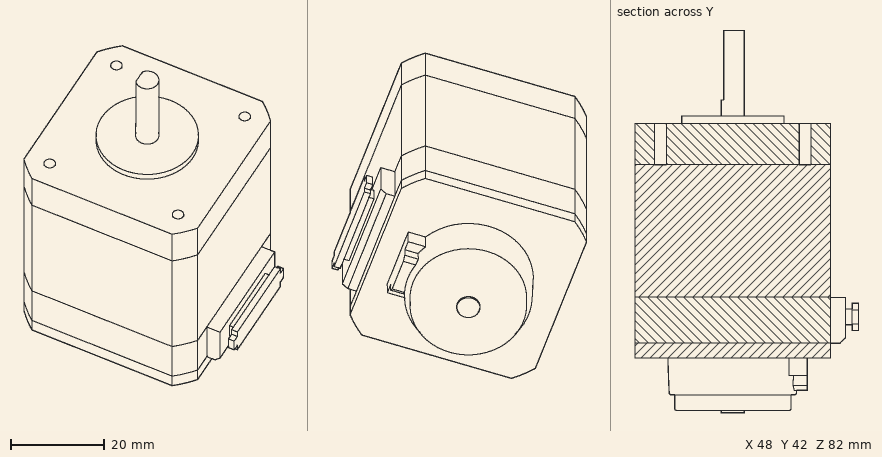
import cadquery as cq
import math


frame_width = 42.0
frame_corner_diameter = 53.95
plate_top = 3.2
rear_cap_top = 13.0
stator_top = 41.5
front_cap_top = 50.35

pilot_diameter = 22.0
pilot_height = 1.55
bolt_hole_diameter = 2.5
bolt_spacing = 31.0

shaft_diameter = 5.0
shaft_top = 70.3
shaft_bottom = -11.7
flat_offset = 2.0
flat_bottom = 55.35

housing_reach = 24.2
housing_width = 25.4
housing_chamfer = 1.2
neck_reach = 25.6
neck_width = 16.6
neck_height = 3.45
flange_reach = 27.0
flange_width = 23.0
flange_height = 5.9
flange_notch = 1.5
plug_center_z = 8.85

cover_top_radius = 13.9
cover_depth = 7.9
draft_angle = 2.0
cover_edge_fillet = 0.5
hub_diameter = 25.0
hub_bottom = -11.2
hub_edge_fillet = 0.5

socket_reach = 16.0
socket_top_width = 13.9
socket_step_depth = 3.7
socket_key_width = 9.35
socket_depth = 6.9
socket_chamfer = 1.0


def frame_slice(bottom, top):
    """Slice of the square frame whose corners lie on a common circle."""
    height = top - bottom
    square = cq.Workplane("XY", origin=(0, 0, bottom)).rect(frame_width, frame_width).extrude(height)
    corner_cylinder = (
        cq.Workplane("XY", origin=(0, 0, bottom)).circle(frame_corner_diameter / 2).extrude(height)
    )
    return square.intersect(corner_cylinder)


def box_along_x(x_start, x_end, width, height, center_z):
    """Box centered on Y = 0 that reaches from x_start to x_end."""
    return (
        cq.Workplane("YZ", origin=(x_start, 0, center_z)).rect(width, height).extrude(x_end - x_start)
    )


def shaft_cylinder():
    """Full-length cylinder of the shaft, also used as the cutter for its bore."""
    length = shaft_top - shaft_bottom
    return cq.Workplane("XY", origin=(0, 0, shaft_bottom)).circle(shaft_diameter / 2).extrude(length)


def make_shaft():
    """Round shaft through the whole motor, with a flat on the -X side of its output end."""
    flat_cutter = cq.Workplane("XY").box(
        shaft_diameter, shaft_diameter, shaft_top - flat_bottom, centered=(False, True, False)
    )
    return shaft_cylinder().cut(flat_cutter.translate((-flat_offset - shaft_diameter, 0, flat_bottom)))


def bore_for_shaft(body):
    """Cut the shaft bore through a body."""
    return body.cut(shaft_cylinder())


def make_front_cap():
    """Front cap with the round pilot and four bolt holes through its thickness."""
    cap = frame_slice(stator_top, front_cap_top)
    pilot = (
        cq.Workplane("XY", origin=(0, 0, front_cap_top)).circle(pilot_diameter / 2).extrude(pilot_height)
    )
    bolt_holes = (
        cq.Workplane("XY", origin=(0, 0, stator_top))
        .rect(bolt_spacing, bolt_spacing, forConstruction=True)
        .vertices()
        .circle(bolt_hole_diameter / 2)
        .extrude(front_cap_top - stator_top)
    )
    return bore_for_shaft(cap.union(pilot).cut(bolt_holes))


def make_stator():
    """Plain middle slice of the frame."""
    return bore_for_shaft(frame_slice(rear_cap_top, stator_top))


def make_rear_cap():
    """Rear cap with the motor connector: a housing, a neck and a flange with notched corners."""
    cap = frame_slice(plate_top, rear_cap_top)

    housing = box_along_x(
        0, housing_reach, housing_width, rear_cap_top - plate_top, (plate_top + rear_cap_top) / 2
    )
    housing = housing.edges(">X and <Z").chamfer(housing_chamfer)

    neck = box_along_x(housing_reach, neck_reach, neck_width, neck_height, plug_center_z)
    wide_bar = box_along_x(
        neck_reach, flange_reach, flange_width, flange_height - 2 * flange_notch, plug_center_z
    )
    tall_bar = box_along_x(
        neck_reach, flange_reach, flange_width - 2 * flange_notch, flange_height, plug_center_z
    )
    flange = wide_bar.union(tall_bar)
    return bore_for_shaft(cap.union(housing).union(neck).union(flange))


def make_encoder_socket():
    """Stepped encoder connector: drafted upper block and a narrower key with chamfered edges."""
    half_top = socket_top_width / 2
    half_step = half_top - socket_step_depth * math.tan(math.radians(draft_angle))
    half_key = socket_key_width / 2
    half_tip = half_key - socket_chamfer
    chamfer_z = socket_chamfer - socket_depth
    half_outline = [
        (half_top, 0),
        (half_step, -socket_step_depth),
        (half_key, -socket_step_depth),
        (half_key, chamfer_z),
        (half_tip, -socket_depth),
    ]
    mirrored_outline = [(-y, z) for y, z in reversed(half_outline)]
    return cq.Workplane("YZ").polyline(half_outline + mirrored_outline).close().extrude(socket_reach)


def make_encoder():
    """Mounting plate with the drafted round cover, its hub and the encoder connector."""
    plate = frame_slice(0, plate_top)
    cover = (
        cq.Workplane("XY")
        .circle(cover_top_radius)
        .extrude(-cover_depth, taper=draft_angle)
        .faces("<Z")
        .edges()
        .fillet(cover_edge_fillet)
    )
    hub = (
        cq.Workplane("XY", origin=(0, 0, hub_bottom))
        .circle(hub_diameter / 2)
        .extrude(-hub_bottom)
        .faces("<Z")
        .edges()
        .fillet(hub_edge_fillet)
    )
    return bore_for_shaft(plate.union(cover).union(hub).union(make_encoder_socket()))


shaft = make_shaft()
front_cap = make_front_cap()
stator = make_stator()
rear_cap = make_rear_cap()
encoder = make_encoder()

bodies = [shaft, front_cap, stator, rear_cap, encoder]
result = cq.Compound.makeCompound([body.solids().val() for body in bodies])